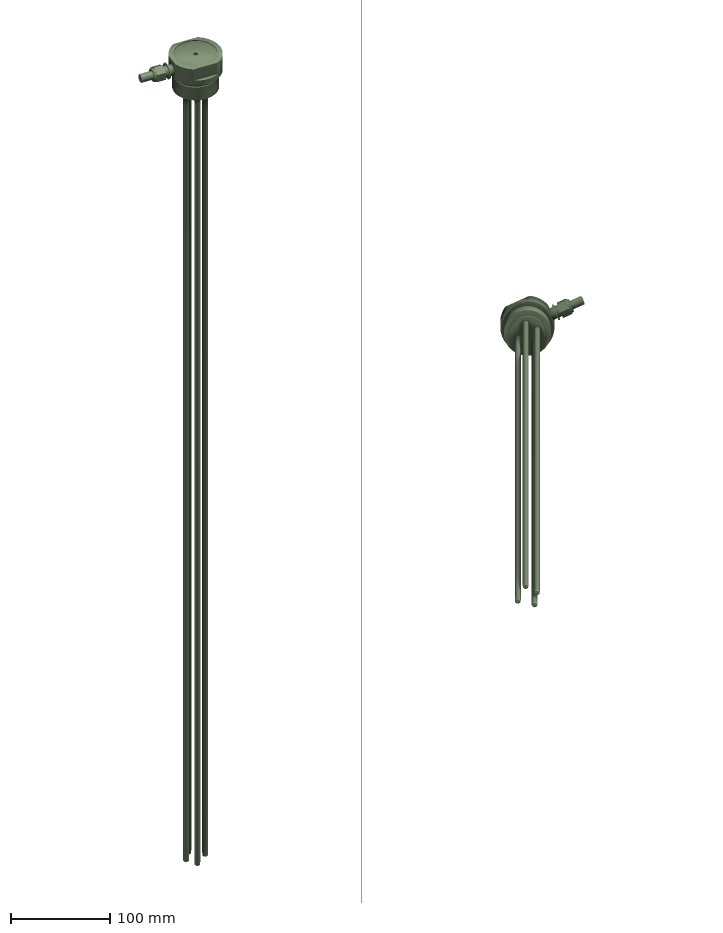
import cadquery as cq

total_height = 1012.0
reach_front = 62.0

head_diameter = 55.0
head_height = 20.0
wrench_flat_spacing = 48.0
wrench_flat_height = 14.0
front_flat = 26.0
lid_recess_diameter = 45.0
lid_recess_depth = 1.0
vent_diameter = 5.0
vent_depth = 3.0

plug_diameter = 48.0
shoulder_height = 2.0
neck_diameter = 45.0
neck_height = 3.0
plug_height = 16.0
step_diameter = 36.0
step_height = 3.0

rod_diameter = 6.0
tip_diameter = 5.8
tip_length = 4.0
tip_chamfer = 1.0
rod_spread = 21.0
side_rod_shift = 3.0
rod_offset = rod_spread / 2
rod_places = [
    (rod_offset, -side_rod_shift),
    (-rod_offset, -side_rod_shift),
    (0, rod_offset),
    (0, -rod_offset),
]

connector_drop = 12.0
stub_diameter = 12.0
collar_diameter = 17.0
collar_length = 1.0
collar_front = 32.0
nut_across_flats = 15.0
nut_length = 10.0
nut_front = 47.0
cap_diameter = 14.0
cap_front = 49.0
cable_diameter = 9.0

head_bottom = total_height - head_height
shoulder_bottom = head_bottom - shoulder_height
neck_bottom = shoulder_bottom - neck_height
plug_bottom = neck_bottom - plug_height
step_bottom = plug_bottom - step_height
connector_height = total_height - connector_drop


def upright(diameter, bottom, top, place=(0, 0)):
    """Cylinder along Z between two heights."""
    return cq.Workplane("XY", origin=(*place, bottom)).circle(diameter / 2).extrude(top - bottom)


def forward_plane(start):
    """Sketch plane on the connector axis, facing -Y, at a distance in front of the head axis."""
    return cq.Workplane("XZ", origin=(0, -start, connector_height))


def forward(diameter, start, end):
    """Cylinder along the connector axis between two distances from the head axis."""
    return forward_plane(start).circle(diameter / 2).extrude(end - start)


def make_head():
    head = upright(head_diameter, head_bottom, total_height)

    flat_cut = cq.Workplane("XY").box(head_diameter, head_diameter, wrench_flat_height)
    cut_offset = (wrench_flat_spacing + head_diameter) / 2
    cut_height = total_height - wrench_flat_height / 2
    for side in (-1, 1):
        head = head.cut(flat_cut.translate((side * cut_offset, 0, cut_height)))

    front_cut = forward_plane(front_flat).rect(head_diameter, 2 * head_height).extrude(head_diameter)
    head = head.cut(front_cut)

    head = head.cut(upright(lid_recess_diameter, total_height - lid_recess_depth, total_height))
    return head.cut(upright(vent_diameter, total_height - vent_depth, total_height))


def make_plug():
    plug = upright(plug_diameter, shoulder_bottom, head_bottom)
    plug = plug.union(upright(neck_diameter, neck_bottom, shoulder_bottom))
    plug = plug.union(upright(plug_diameter, plug_bottom, neck_bottom))
    return plug.union(upright(step_diameter, step_bottom, plug_bottom))


def make_rod(place):
    tip = upright(tip_diameter, 0, tip_length, place).faces("<Z").chamfer(tip_chamfer)
    return upright(rod_diameter, tip_length, step_bottom, place).union(tip)


def make_sensor():
    """Head, plug and rods in one piece."""
    sensor = make_head().union(make_plug())
    for place in rod_places:
        sensor = sensor.union(make_rod(place))
    return sensor


def make_connector():
    """Stub with collar, hexagonal nut, cap and cable end, seated on the front flat."""
    nut_back = nut_front - nut_length
    nut = forward_plane(nut_back).polygon(6, nut_across_flats, circumscribed=True).extrude(nut_length)
    connector = forward(stub_diameter, front_flat, nut_back).union(nut)
    connector = connector.union(forward(collar_diameter, collar_front - collar_length, collar_front))
    connector = connector.union(forward(cap_diameter, nut_front, cap_front))
    return connector.union(forward(cable_diameter, cap_front, reach_front))


sensor = make_sensor()
connector = make_connector()
result = cq.Compound.makeCompound([sensor.val(), connector.val()])